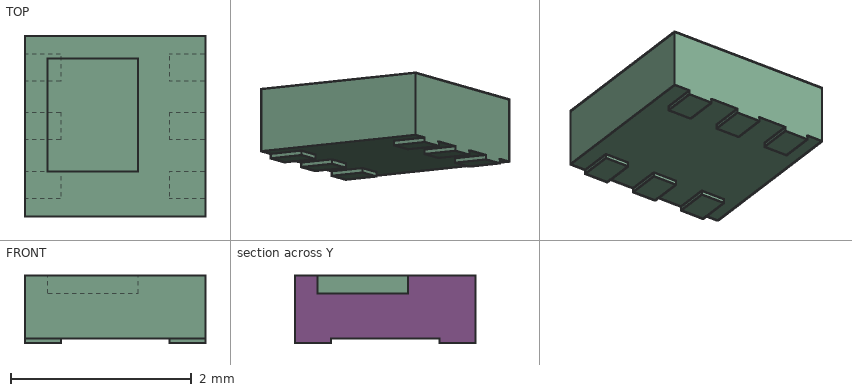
import cadquery as cq

body_length = 2.0
body_width = 2.0
base_height = 0.3
cap_height = 0.4

pad_length = 0.4
pad_width = 0.3
pad_height = 0.1
pad_standoff = 0.05
pad_pitch = 0.65
pads_per_side = 3

window_length = 1.0
window_width = 1.25
window_depth = 0.2
window_margin = 0.25

cap_bottom = pad_standoff + base_height
body_top = cap_bottom + cap_height


def block(length, width, height, x, y, bottom):
    """Box centred at (x, y), standing on the height `bottom`."""
    box = cq.Workplane("XY").box(length, width, height, centered=(True, True, False))
    return box.translate((x, y, bottom))


def make_cap():
    cap = block(body_length, body_width, cap_height, 0, 0, cap_bottom)
    window_x = -body_length / 2 + window_margin + window_length / 2
    window_y = body_width / 2 - window_margin - window_width / 2
    window_floor = body_top - window_depth
    window = block(window_length, window_width, window_depth, window_x, window_y, window_floor)
    return cap.cut(window)


def make_pads():
    pad_x = (body_length - pad_length) / 2
    first_pad_y = -pad_pitch * (pads_per_side - 1) / 2
    pads = []
    for x in (-pad_x, pad_x):
        for index in range(pads_per_side):
            y = first_pad_y + index * pad_pitch
            pads.append(block(pad_length, pad_width, pad_height, x, y, 0))
    return pads


result = block(body_length, body_width, base_height, 0, 0, pad_standoff)
result = result.union(make_cap(), clean=False)
for pad in make_pads():
    result = result.union(pad, clean=False)